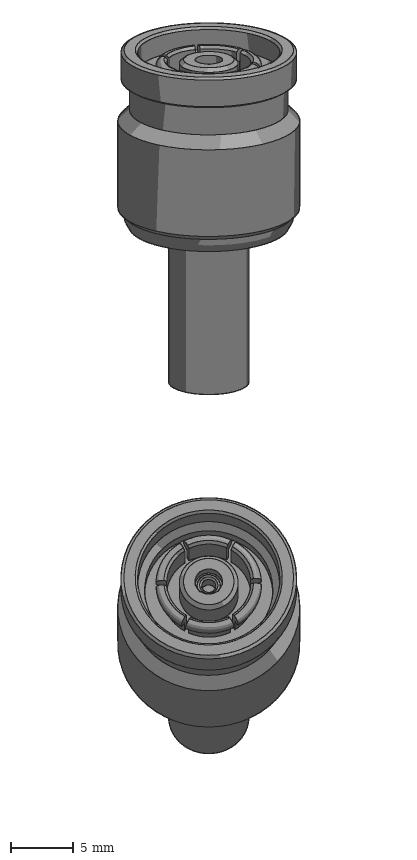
import cadquery as cq

total_height = 28.05

collar_radius = 7.05
collar_top_flat_radius = 6.8
collar_bevel_height = 0.17
collar_height = 2.58
neck_radius = 6.37
neck_bottom_z = 23.03
body_radius = 7.3
body_top_z = 22.08
body_bottom_z = 14.75
skirt_upper_radius = 6.87
skirt_upper_z = 14.35
skirt_lower_radius = 6.75
skirt_lower_z = 13.8
nut_base_radius = 6.42
nut_base_z = 13.18

flange_radius = 4.3
flange_bottom_radius = 4.2
flange_bottom_z = 13.02
tube_radius = 3.23

mouth_radius = 5.7
mouth_bevel = 0.2
throat_radius = 5.13
throat_cone_top_z = 26.17
throat_cone_bottom_z = throat_cone_top_z - (mouth_radius - throat_radius)
cavity_floor_z = 24.57

ring_inner_radius = 3.37
ring_stem_radius = 3.7
ring_bead_radius = 4.24
ring_top_outer_radius = 3.81
ring_top_z = 27.25
ring_inner_bevel = 0.22
ring_root_depth = 0.28
bead_center_z = 26.7
bead_bottom_z = 26.15
slot_width = 0.4
slot_count = 6

post_radius = 2.35
post_bevel_width = 0.35
post_bevel_height = 0.28
post_top_z = 27.25
post_bore_radius = 1.1

contact_radius = 0.93
contact_top_z = 26.5
contact_gap_floor_z = 26.4
contact_funnel_radius = 0.73
contact_bore_radius = 0.55
contact_funnel_height = contact_funnel_radius - contact_bore_radius
contact_bore_floor_z = 25.25


def revolve_profile(wire):
    """Turn a closed radius-height outline about the Z axis."""
    return wire.revolve(360, (0, 0, 0), (0, 1, 0))


def make_shell():
    """Coupling nut, flange and tube, with the open cavity at the top."""
    collar_bottom_z = total_height - collar_height
    outline = [
        (0, 0),
        (tube_radius, 0),
        (tube_radius, flange_bottom_z),
        (flange_bottom_radius, flange_bottom_z),
        (flange_radius, nut_base_z),
        (nut_base_radius, nut_base_z),
        (skirt_lower_radius, skirt_lower_z),
        (skirt_upper_radius, skirt_upper_z),
        (body_radius, body_bottom_z),
        (body_radius, body_top_z),
        (neck_radius, neck_bottom_z),
        (neck_radius, collar_bottom_z),
        (collar_top_flat_radius, collar_bottom_z),
        (collar_radius, collar_bottom_z + collar_bevel_height),
        (collar_radius, total_height - collar_bevel_height),
        (collar_top_flat_radius, total_height),
        (mouth_radius + mouth_bevel, total_height),
        (mouth_radius, total_height - mouth_bevel),
        (mouth_radius, throat_cone_top_z),
        (throat_radius, throat_cone_bottom_z),
        (throat_radius, cavity_floor_z),
        (0, cavity_floor_z),
    ]
    return revolve_profile(cq.Workplane("XZ").polyline(outline).close())


def make_spring_ring():
    """Spring ring with a rounded outer bead, split into equal fingers."""
    ring_base_z = cavity_floor_z - ring_root_depth
    ring = revolve_profile(
        cq.Workplane("XZ")
        .moveTo(ring_inner_radius, ring_base_z)
        .lineTo(ring_stem_radius, ring_base_z)
        .lineTo(ring_stem_radius, bead_bottom_z)
        .threePointArc((ring_bead_radius, bead_center_z), (ring_top_outer_radius, ring_top_z))
        .lineTo(ring_inner_radius + ring_inner_bevel, ring_top_z)
        .lineTo(ring_inner_radius, ring_top_z - ring_inner_bevel)
        .close()
    )
    slot_height = ring_top_z - cavity_floor_z
    for index in range(slot_count):
        slot = (
            cq.Workplane("XY", origin=(0, 0, cavity_floor_z))
            .center(throat_radius / 2, 0)
            .rect(throat_radius, slot_width)
            .extrude(slot_height)
            .rotate((0, 0, 0), (0, 0, 1), index * 360 / slot_count)
        )
        ring = ring.cut(slot)
    return ring


def make_post():
    """Insulator post with the socket contact recessed in its bore."""
    outline = [
        (0, cavity_floor_z),
        (post_radius, cavity_floor_z),
        (post_radius, post_top_z - post_bevel_height),
        (post_radius - post_bevel_width, post_top_z),
        (post_bore_radius, post_top_z),
        (post_bore_radius, contact_gap_floor_z),
        (contact_radius, contact_gap_floor_z),
        (contact_radius, contact_top_z),
        (contact_funnel_radius, contact_top_z),
        (contact_bore_radius, contact_top_z - contact_funnel_height),
        (contact_bore_radius, contact_bore_floor_z),
        (0, contact_bore_floor_z),
    ]
    return revolve_profile(cq.Workplane("XZ").polyline(outline).close())


result = make_shell().union(make_spring_ring()).union(make_post())